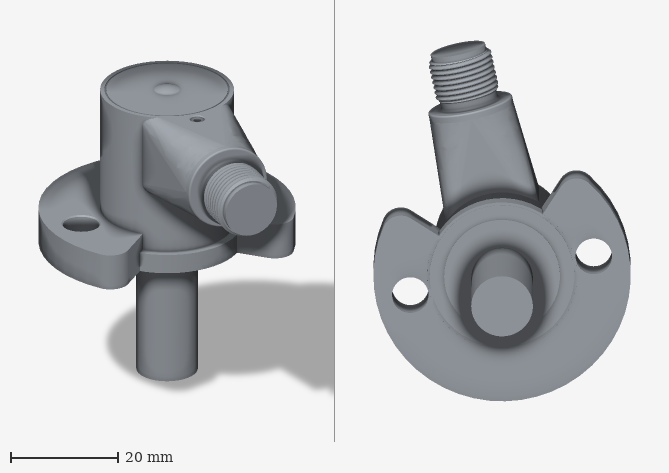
import cadquery as cq
import math

flange_radius = 24.0
flange_thickness = 7.0
notch_half_angle = math.radians(45)
notch_corner_radius = 3.5
bolt_circle_radius = 17.5
bolt_hole_radius = 3.4
bolt_hole_chamfer = 0.25
bolt_hole_chamfer_angle = 90

head_radius = 12.5
head_height = 24.3
head_top = flange_thickness + head_height
shoulder_radius = 14.0
shoulder_height = 3.75
shoulder_lip_radius = 13.5
shoulder_lip_drop = 0.2
lower_boss_radius = 10.8
lower_boss_drop = 0.55
cap_groove_outer_radius = 11.7
cap_groove_width = 0.35
cap_groove_depth = 0.2
dome_radius = 2.5
dome_height = 0.53

stem_radius = 5.75
stem_length = 26.2
stem_neck_radius = 5.5
stem_neck_end = 1.4
stem_collar_radius = 5.62
stem_collar_start = 1.55
stem_collar_end = 2.16

arm_radius = 8.0
arm_axis_height = head_top - arm_radius
arm_root_x = 5.7
arm_end_x = 27.0
arm_root_corner_radius = 1.0
arm_root_half_height = arm_radius
arm_root_half_width = 9.08

collar_end_x = 28.35
collar_edge_radius = 0.35
neck_radius = 5.4
neck_fillet = 0.5
thread_start_x = 30.0
thread_end_x = 37.85
thread_root_radius = 5.45
thread_crest_radius = 6.0
thread_pitch = 1.0
thread_chamfer = 0.55
thread_crest_flat = 0.16
thread_root_flat = 0.12
thread_clearance = 0.05
tip_radius = 5.2
tip_end_x = 39.0

screw_x = 14.0
screw_radius = 1.5
screw_countersink = 0.15
screw_face_depth = 0.3
screw_socket_radius = 0.75
screw_socket_depth = 1.0
screw_socket_tip_depth = 1.5


def disc(radius, bottom, top):
    """Vertical cylinder on the main axis."""
    return cq.Workplane("XY").workplane(offset=bottom).circle(radius).extrude(top - bottom)


def make_flange():
    """Round plate with a 90 degree notch toward +X, a stepped bore and two bolt holes."""
    notch_reach = 2 * flange_radius
    notch_side = notch_reach * math.tan(notch_half_angle)
    notch = (
        cq.Workplane("XY")
        .polyline([(0, 0), (notch_reach, -notch_side), (notch_reach, notch_side)])
        .close()
        .extrude(flange_thickness)
    )
    plate = disc(flange_radius, 0, flange_thickness).cut(notch)
    plate = plate.edges("|Z and (>Y or <Y)").fillet(notch_corner_radius)

    plate = plate.cut(disc(head_radius, 0, flange_thickness))
    plate = plate.cut(disc(shoulder_radius, 0, shoulder_height))
    bolt_hole_mouth_radius = bolt_hole_radius + bolt_hole_chamfer
    return (
        plate.faces(">Z")
        .workplane(origin=(0, 0, flange_thickness))
        .pushPoints([(0, bolt_circle_radius), (0, -bolt_circle_radius)])
        .cskHole(2 * bolt_hole_radius, 2 * bolt_hole_mouth_radius, bolt_hole_chamfer_angle)
    )


def make_turned_core():
    """Stem, shoulder, head and domed centre as one revolved profile."""
    dome_sphere_radius = (dome_radius**2 + dome_height**2) / (2 * dome_height)
    dome_mid_radius = dome_radius / 2
    dome_mid_z = (
        head_top + dome_height - dome_sphere_radius
        + math.sqrt(dome_sphere_radius**2 - dome_mid_radius**2)
    )
    return (
        cq.Workplane("XZ")
        .moveTo(0, -stem_length)
        .lineTo(stem_radius, -stem_length)
        .lineTo(stem_radius, -stem_collar_end)
        .lineTo(stem_collar_radius, -stem_collar_start)
        .lineTo(stem_neck_radius, -stem_neck_end)
        .lineTo(stem_neck_radius, -lower_boss_drop)
        .lineTo(lower_boss_radius, -lower_boss_drop)
        .lineTo(lower_boss_radius, -shoulder_lip_drop)
        .lineTo(shoulder_lip_radius, -shoulder_lip_drop)
        .lineTo(shoulder_lip_radius, 0)
        .lineTo(shoulder_radius, 0)
        .lineTo(shoulder_radius, shoulder_height)
        .lineTo(head_radius, shoulder_height)
        .lineTo(head_radius, head_top)
        .lineTo(dome_radius, head_top)
        .threePointArc((dome_mid_radius, dome_mid_z), (0, head_top + dome_height))
        .close()
        .revolve(360, (0, 0), (0, 1))
    )


def arm_point(x, y, z):
    """Point given relative to the arm axis."""
    return cq.Vector(x, y, arm_axis_height + z)


def corner_arc(x, centre_y, centre_z, radius, start_angle):
    """Quarter circle in the plane at x, running anticlockwise from start_angle degrees."""
    points = []
    for angle in (start_angle, start_angle + 45, start_angle + 90):
        turn = math.radians(angle)
        points.append(
            arm_point(x, centre_y + radius * math.cos(turn), centre_z + radius * math.sin(turn))
        )
    return cq.Edge.makeThreePointArc(*points)


def make_arm():
    """Rounded square to circle transition: four flat triangles and four conical corners."""
    centre_y = arm_root_half_width - arm_root_corner_radius
    centre_z = arm_root_half_height - arm_root_corner_radius
    corner_signs = [(1, 1), (-1, 1), (-1, -1), (1, -1)]
    root_arcs = []
    end_arcs = []
    for index, (sign_y, sign_z) in enumerate(corner_signs):
        start_angle = 90 * index
        root_arcs.append(
            corner_arc(
                arm_root_x, sign_y * centre_y, sign_z * centre_z, arm_root_corner_radius, start_angle
            )
        )
        end_arcs.append(corner_arc(arm_end_x, 0, 0, arm_radius, start_angle))

    faces = []
    root_edges = []
    for index in range(4):
        following = (index + 1) % 4
        flat_start = root_arcs[index].endPoint()
        flat_end = root_arcs[following].startPoint()
        flat_tip = end_arcs[index].endPoint()
        faces.append(cq.Face.makeRuledSurface(root_arcs[index], end_arcs[index]))
        faces.append(
            cq.Face.makeFromWires(cq.Wire.makePolygon([flat_start, flat_end, flat_tip], close=True))
        )
        root_edges += [root_arcs[index], cq.Edge.makeLine(flat_start, flat_end)]
    faces.append(cq.Face.makeFromWires(cq.Wire.assembleEdges(root_edges)))
    faces.append(cq.Face.makeFromWires(cq.Wire.assembleEdges(end_arcs)))
    return cq.Workplane(cq.Solid.makeSolid(cq.Shell.makeShell(faces)).fix())


def revolve_about_arm_axis(profile):
    """Close a profile drawn in (X, radius) and revolve it about the arm axis."""
    return profile.close().revolve(360, (0, 0), (1, 0)).translate((0, 0, arm_axis_height))


def make_connector_blank():
    """Collar, filleted neck, chamfered thread blank and plain tip."""
    diagonal = 1 - math.sqrt(0.5)
    return revolve_about_arm_axis(
        cq.Workplane("XZ")
        .moveTo(arm_end_x, 0)
        .lineTo(arm_end_x, arm_radius)
        .lineTo(collar_end_x - collar_edge_radius, arm_radius)
        .threePointArc(
            (
                collar_end_x - collar_edge_radius * diagonal,
                arm_radius - collar_edge_radius * diagonal,
            ),
            (collar_end_x, arm_radius - collar_edge_radius),
        )
        .lineTo(collar_end_x, neck_radius + neck_fillet)
        .threePointArc(
            (collar_end_x + neck_fillet * diagonal, neck_radius + neck_fillet * diagonal),
            (collar_end_x + neck_fillet, neck_radius),
        )
        .lineTo(thread_start_x, neck_radius)
        .lineTo(thread_start_x, thread_crest_radius - thread_chamfer)
        .lineTo(thread_start_x + thread_chamfer, thread_crest_radius)
        .lineTo(thread_end_x - thread_chamfer, thread_crest_radius)
        .lineTo(thread_end_x, thread_crest_radius - thread_chamfer)
        .lineTo(thread_end_x, tip_radius)
        .lineTo(tip_end_x, tip_radius)
        .lineTo(tip_end_x, 0)
    )


def make_groove_turn():
    """One turn of the right-handed V groove, starting where the thread starts."""
    helix_centre = cq.Vector(thread_start_x, 0, arm_axis_height)
    path = cq.Wire.makeHelix(
        thread_pitch, thread_pitch, thread_root_radius, center=helix_centre, dir=cq.Vector(1, 0, 0)
    )
    start = path.startPoint()
    outward = (start - helix_centre).normalized()
    section_plane = cq.Plane(origin=start, xDir=outward, normal=cq.Vector(1, 0, 0).cross(outward))
    thread_depth = thread_crest_radius - thread_root_radius
    groove_depth = thread_depth + thread_clearance
    half_root = thread_root_flat / 2
    half_mouth_at_crest = (thread_pitch - thread_crest_flat) / 2
    half_mouth = half_root + (half_mouth_at_crest - half_root) * groove_depth / thread_depth
    return (
        cq.Workplane(section_plane)
        .polyline(
            [
                (0, -half_root),
                (groove_depth, -half_mouth),
                (groove_depth, half_mouth),
                (0, half_root),
            ]
        )
        .close()
        .sweep(cq.Workplane(path), isFrenet=True)
    )


def make_connector():
    """Connector with the thread groove cut turn by turn, running out past both ends."""
    connector = make_connector_blank()
    groove_turn = make_groove_turn()
    last_turn = math.ceil((thread_end_x - thread_start_x) / thread_pitch)
    for turn in range(-1, last_turn):
        connector = connector.cut(groove_turn.translate((turn * thread_pitch, 0, 0)))
    return connector


def make_cap_groove():
    """Shallow ring around the cap on the head's top face."""
    groove_floor = head_top - cap_groove_depth
    groove_inner_radius = cap_groove_outer_radius - cap_groove_width
    ring = disc(cap_groove_outer_radius, groove_floor, head_top)
    return ring.cut(disc(groove_inner_radius, groove_floor, head_top))


def make_screw_recess():
    """Countersunk recess with a smaller conical-bottomed socket in its floor."""
    face_radius = screw_radius - screw_countersink
    return (
        cq.Workplane("XZ")
        .moveTo(0, 0)
        .lineTo(screw_radius, 0)
        .lineTo(face_radius, -screw_countersink)
        .lineTo(face_radius, -screw_face_depth)
        .lineTo(screw_socket_radius, -screw_face_depth)
        .lineTo(screw_socket_radius, -screw_socket_depth)
        .lineTo(0, -screw_socket_tip_depth)
        .close()
        .revolve(360, (0, 0), (0, 1))
        .translate((screw_x, 0, head_top))
    )


def make_sensor():
    """Turned core, side arm and threaded connector as a single solid."""
    body = make_turned_core().union(make_arm()).union(make_connector())
    return body.cut(make_cap_groove()).cut(make_screw_recess())


flange = make_flange()
sensor = make_sensor()
result = cq.Compound.makeCompound([flange.solids().val(), sensor.solids().val()])